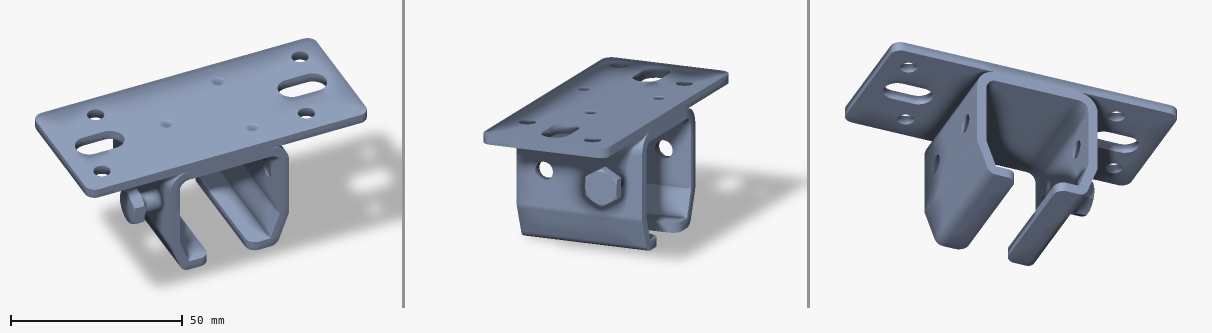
import cadquery as cq
import math

width = 40.0
sheet = 3.0
height = 39.0

plate_length = 90.0
plate_corner_radius = 3.1
plate_bottom = height - sheet
slot_width = 8.4
slot_length = 15.0
slot_y = 32.5
plate_hole_diameter = 5.0
plate_hole_x = 12.5
outer_hole_y = 37.5
inner_hole_y = 28.0
dimple_diameter = 4.0
dimple_depth = 0.45
dimple_x = 12.0
dimple_y = 11.0

channel_half_width = 19.0
cavity_half_width = channel_half_width - sheet
cavity_top = plate_bottom - sheet
cavity_corner_radius = 3.0
taper_height = 8.1
taper_inset = 3.0
lip_gap = 12.7
lip_corner_radius = 3.1
side_hole_diameter = 5.6
side_hole_x = 11.25
side_hole_z = 22.0

bolt_diameter = 6.0
bolt_tip_y = -15.0
bolt_tip_chamfer = 0.7
collar_diameter = 9.1
collar_thickness = 0.5
head_flats = 10.0
head_height = 3.2
head_inner_y = -25.65
head_chamfer_angle = 30.0


def make_plate():
    plate = (
        cq.Workplane("XY")
        .box(width, plate_length, sheet, centered=(True, True, False))
        .edges("|Z")
        .fillet(plate_corner_radius)
    )
    slots = (
        cq.Workplane("XY")
        .pushPoints([(0, slot_y), (0, -slot_y)])
        .slot2D(slot_length, slot_width, 90)
        .extrude(sheet)
    )
    hole_points = [
        (-plate_hole_x, outer_hole_y),
        (plate_hole_x, inner_hole_y),
        (-plate_hole_x, -inner_hole_y),
        (plate_hole_x, -outer_hole_y),
    ]
    holes = cq.Workplane("XY").pushPoints(hole_points).circle(plate_hole_diameter / 2).extrude(sheet)
    plate = plate.cut(slots).cut(holes)
    for x, y in [(-dimple_x, dimple_y), (dimple_x, dimple_y), (0, -dimple_y)]:
        plate = plate.cut(make_dimple(x, y))
    return plate.translate((0, 0, plate_bottom))


def make_dimple(x, y):
    """Spherical dimple opening at the top face of the plate."""
    rim_radius = dimple_diameter / 2
    sphere_radius = (rim_radius**2 + dimple_depth**2) / (2 * dimple_depth)
    center_z = sheet - dimple_depth + sphere_radius
    return cq.Workplane("XY").sphere(sphere_radius).translate((x, y, center_z))


def make_channel():
    floor_half_width = cavity_half_width - taper_inset
    cavity_outline = [
        (-floor_half_width, sheet),
        (floor_half_width, sheet),
        (cavity_half_width, sheet + taper_height),
        (cavity_half_width, cavity_top),
        (-cavity_half_width, cavity_top),
        (-cavity_half_width, sheet + taper_height),
    ]
    cavity = (
        cq.Workplane("YZ")
        .polyline(cavity_outline)
        .close()
        .extrude(width / 2, both=True)
        .edges("|X and >Z")
        .fillet(cavity_corner_radius)
    )
    outside = cavity.faces("<X").wires().toPending().offset2D(sheet, "arc").extrude(width)
    gap = cq.Workplane("XY").box(width, lip_gap, sheet, centered=(True, True, False))
    channel = outside.cut(cavity).cut(gap)

    margin = sheet / 2
    lip_corners = cq.selectors.BoxSelector(
        (-width, -lip_gap / 2 - margin, -margin),
        (width, lip_gap / 2 + margin, sheet + margin),
    )
    channel = channel.edges("|Z").edges(lip_corners).fillet(lip_corner_radius)

    for x in (-side_hole_x, side_hole_x):
        channel = channel.cut(make_rod(x, side_hole_diameter, channel_half_width, -channel_half_width))
    return channel.cut(make_rod(side_hole_x, bolt_diameter, 0, -channel_half_width))


def make_rod(x, diameter, start_y, end_y):
    """Cylinder at side-hole height, running from start_y towards -Y."""
    return (
        cq.Workplane("XZ", origin=(x, start_y, side_hole_z))
        .circle(diameter / 2)
        .extrude(start_y - end_y)
    )


def make_bolt():
    shank = make_rod(side_hole_x, bolt_diameter, bolt_tip_y, head_inner_y)
    shank = shank.faces(">Y").chamfer(bolt_tip_chamfer)
    collar = make_rod(side_hole_x, collar_diameter, head_inner_y + collar_thickness, head_inner_y)
    return shank.union(collar).union(make_head())


def make_head():
    """Hexagon with two corners up and down and a conical chamfer on its outer face."""
    corner_radius = head_flats / 2 / math.cos(math.radians(30))
    hexagon = (
        cq.Workplane("XZ", origin=(side_hole_x, head_inner_y, side_hole_z))
        .polygon(6, 2 * corner_radius)
        .extrude(head_height)
        .rotate((side_hole_x, 0, side_hole_z), (side_hole_x, 1, side_hole_z), 30)
    )
    chamfer_depth = (corner_radius - head_flats / 2) * math.tan(math.radians(head_chamfer_angle))
    envelope = make_rod(side_hole_x, 2 * corner_radius, head_inner_y, head_inner_y - head_height)
    envelope = envelope.faces("<Y").chamfer(chamfer_depth, corner_radius - head_flats / 2)
    return hexagon.intersect(envelope)


plate = make_plate()
channel = make_channel()
bolt = make_bolt()

result = cq.Compound.makeCompound([plate.val(), channel.val(), bolt.val()])